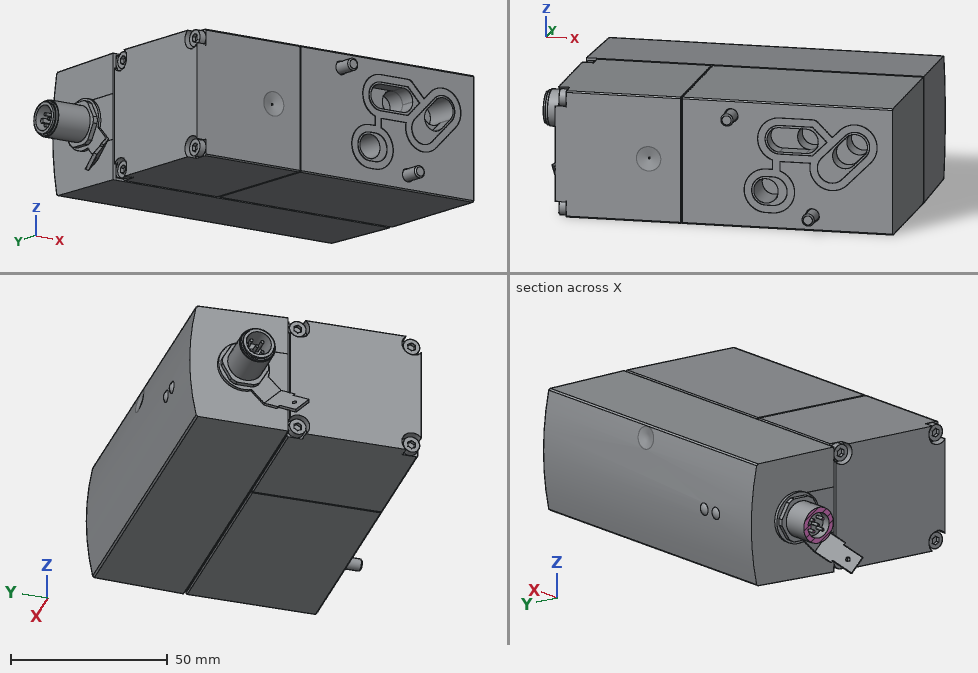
import cadquery as cq
import math


LENGTH = 110.45
HEIGHT = 41.5
HALF_HEIGHT = HEIGHT / 2
BODY_DEPTH = 43.75
BODY_CHAMFER = 0.45
BLOCK_JOINT_X = 41.3
BLOCK_JOINT_WIDTH = 0.5
BLOCK_JOINT_DEPTH = 0.4

SEAM_WIDTH = 0.8
SEAM_DEPTH = 0.8
SEAM_END_DEPTH = 1.1
COVER_START = BODY_DEPTH + SEAM_WIDTH
COVER_EDGE = 74.9
COVER_CREST = 77.25
COVER_EDGE_CHAMFER = 0.5
COVER_DRAFT = 1.0
PAD_WIDTH = 15.0
PAD_BACK = 1.5

BUTTON_X = (19.2, 25.3)
BUTTON_DIAMETER = 4.0
BUTTON_HEIGHT = 0.83
DIMPLE_DIAMETER = 8.0
DIMPLE_DEPTH = 0.9
DIMPLE_PINHOLE_DIAMETER = 0.5
DIMPLE_PINHOLE_DEPTH = 1.5
FRONT_DIMPLE_X = 30.6
COVER_DIMPLE_X = 57.8
COVER_DIMPLE_Z = 16.0

STUD_CENTRES = ((57.6, 15.7), (84.2, -15.7))
STUD_DIAMETER = 4.0
STUD_LENGTH = 6.5
STUD_CHAMFER = 0.5
STUD_HOLE_DIAMETER = 4.4
STUD_HOLE_DEPTH = 1.0

SCREW_INSET = 2.85
SCREW_HEAD_DIAMETER = 5.5
SCREW_HEAD_HEIGHT = 2.4
SCREW_POCKET_DIAMETER = 7.2
SCREW_POCKET_DEPTH = 3.6
SCREW_SOCKET_FLATS = 2.5
SCREW_SOCKET_DEPTH = 1.3

PORT_DIAMETER = 8.0
PORT_DEPTH = 12.0
SLOT_DEPTH = 5.5
LAND_RADIUS = 4.7
GASKET_WIDTH = 2.45
GASKET_RADIUS = LAND_RADIUS + GASKET_WIDTH
GASKET_DEPTH = 0.2
UPPER_SLOT_X = 73.4
UPPER_PORT_X = 82.1
UPPER_PORT_Z = 8.6
UPPER_LAND_SHOULDER_X = 84.2
UPPER_LAND_POINT_SLOPE = 45.0
LOWER_PORT_X = 69.0
LOWER_LAND_X = 71.2
LOWER_PORT_Z = -8.4
SLANT_PORT = (98.2, 7.7)
SLANT_LAND_RUN = 7.7
SLANT_SLOT_RUN = 3.4
LINK_X = 72.4

CONNECTOR_Y = 59.5
TAG_DIAMETER = 17.0
TAG_THICKNESS = 0.8
NUT_FLATS = 14.3
NUT_CORNERS = 15.4
NUT_END = 2.4
BARREL_DIAMETER = 12.0
BARREL_END = 14.9
COLLAR_DIAMETER = 11.4
COLLAR_END = 15.7
TIP_DIAMETER = 10.4
CONNECTOR_END = 16.45
SOCKET_DIAMETER = 8.3
SOCKET_DEPTH = 8.0
PIN_DIAMETER = 1.0
PIN_LENGTH = 6.0
PIN_RADIUS = 2.6
OUTER_PINS = 4
KEY_SIZE = 1.4
KEY_RADIUS = 3.6

TAG_ANGLE = 45.0
TAG_WIDTH = 8.0
TAG_TIP_WIDTH = 6.3
TAG_BEND = 13.5
TAG_SHOULDER = 18.0
TAG_REACH = 23.2
TAG_SLOPE = 45.0
TAG_HOLE_RADIUS = 20.6
TAG_HOLE_DIAMETER = 1.4

HEX_SIDES = 6
OVERLAP = 0.2


def block(x, y, z):
    """Box from three (low, high) ranges."""
    size = [high - low for low, high in (x, y, z)]
    return cq.Workplane("XY").box(*size, centered=False).translate((x[0], y[0], z[0]))


def rod_y(x, z, diameter, start, end):
    """Cylinder along Y."""
    base = cq.Workplane("XZ", origin=(x, start, z))
    return base.circle(diameter / 2).extrude(start - end)


def rod_x(y, z, diameter, start, end):
    """Cylinder along X."""
    return cq.Workplane("YZ", origin=(start, y, z)).circle(diameter / 2).extrude(end - start)


def stadium(start, end, radius, depth):
    """Round-ended slot cutter sunk into the port face between two (X, Z) centres."""
    run_x = end[0] - start[0]
    run_z = end[1] - start[1]
    middle_x = (start[0] + end[0]) / 2
    middle_z = (start[1] + end[1]) / 2
    overall = math.hypot(run_x, run_z) + 2 * radius
    angle = math.degrees(math.atan2(run_z, run_x))
    plane = cq.Workplane("XZ", origin=(middle_x, 0, middle_z))
    return plane.slot2D(overall, 2 * radius, angle).extrude(-depth)


def button(x):
    """Ball segment standing on the crest of the cover."""
    radius = ((BUTTON_DIAMETER / 2) ** 2 + BUTTON_HEIGHT**2) / (2 * BUTTON_HEIGHT)
    return cq.Workplane("XY").sphere(radius).translate((x, COVER_CREST + BUTTON_HEIGHT - radius, 0))


def conical_dimple(x, y, z, inward):
    """Shallow cone cutter along Y; inward is +1 or -1, the way the tip points."""
    base = cq.Solid.makeCone(
        DIMPLE_DIAMETER / 2,
        0,
        DIMPLE_DEPTH,
        pnt=cq.Vector(x, y, z),
        dir=cq.Vector(0, inward, 0),
    )
    return cq.Workplane(base)


def body():
    blocks = block((0, LENGTH), (0, BODY_DEPTH), (-HALF_HEIGHT, HALF_HEIGHT))
    blocks = blocks.edges("|X").chamfer(BODY_CHAMFER)
    joint_x = (BLOCK_JOINT_X - BLOCK_JOINT_WIDTH / 2, BLOCK_JOINT_X + BLOCK_JOINT_WIDTH / 2)
    joint = block(joint_x, (0, BODY_DEPTH), (-HALF_HEIGHT, HALF_HEIGHT))
    inner_half = HALF_HEIGHT - BLOCK_JOINT_DEPTH
    inner_y = (BLOCK_JOINT_DEPTH, BODY_DEPTH - BLOCK_JOINT_DEPTH)
    joint = joint.cut(block(joint_x, inner_y, (-inner_half, inner_half)))
    return blocks.cut(joint)


def seam_core():
    inner_half = HALF_HEIGHT - SEAM_DEPTH
    y = (BODY_DEPTH - OVERLAP, COVER_START + OVERLAP)
    return block((SEAM_END_DEPTH, LENGTH - SEAM_END_DEPTH), y, (-inner_half, inner_half))


def cover():
    """Drafted block with a crowned outer face."""
    base = cq.Workplane("XZ", origin=(LENGTH / 2, COVER_START, 0)).rect(LENGTH, HEIGHT)
    drafted = base.extrude(-(COVER_CREST - COVER_START), taper=COVER_DRAFT)
    crown = (
        cq.Workplane("YZ")
        .moveTo(COVER_START, -HALF_HEIGHT)
        .lineTo(COVER_EDGE, -HALF_HEIGHT)
        .threePointArc((COVER_CREST, 0), (COVER_EDGE, HALF_HEIGHT))
        .lineTo(COVER_START, HALF_HEIGHT)
        .close()
        .extrude(LENGTH)
    )
    pad = block((0, PAD_BACK), (COVER_START, CONNECTOR_Y), (-PAD_WIDTH / 2, PAD_WIDTH / 2))
    boss = rod_x(CONNECTOR_Y, 0, TAG_DIAMETER, 0, PAD_BACK)
    crowned = drafted.intersect(crown)
    for side in (-1, 1):
        edge = cq.selectors.NearestToPointSelector((LENGTH / 2, COVER_EDGE, side * HALF_HEIGHT))
        crowned = crowned.edges("|X").edges(edge).chamfer(COVER_EDGE_CHAMFER)
    return crowned.union(pad).union(boss)


def cover_dimple():
    """Conical dimple square to the crowned face."""
    sagitta = COVER_CREST - COVER_EDGE
    radius = (HALF_HEIGHT**2 + sagitta**2) / (2 * sagitta)
    tilt = math.degrees(math.asin(COVER_DIMPLE_Z / radius))
    centre_y = COVER_CREST - radius
    cutter = conical_dimple(COVER_DIMPLE_X, COVER_CREST, 0, -1)
    return cutter.rotate((0, centre_y, 0), (1, centre_y, 0), tilt)


def studs(part):
    for x, z in STUD_CENTRES:
        part = part.cut(rod_y(x, z, STUD_HOLE_DIAMETER, 0, STUD_HOLE_DEPTH))
        stud = rod_y(x, z, STUD_DIAMETER, -STUD_LENGTH, STUD_HOLE_DEPTH + OVERLAP)
        part = part.union(stud.faces("<Y").chamfer(STUD_CHAMFER))
    return part


def corner_screws(part):
    """Screw heads sunk in corner pockets that open to the sides."""
    head_start = SCREW_POCKET_DEPTH - SCREW_HEAD_HEIGHT
    for y, y_edge in ((SCREW_INSET, 0), (BODY_DEPTH - SCREW_INSET, BODY_DEPTH)):
        for side in (-1, 1):
            z = side * (HALF_HEIGHT - SCREW_INSET)
            part = part.cut(rod_x(y, z, SCREW_POCKET_DIAMETER, 0, SCREW_POCKET_DEPTH))
            corner_z = sorted((z, side * HALF_HEIGHT))
            part = part.cut(block((0, SCREW_POCKET_DEPTH), sorted((y, y_edge)), corner_z))
            head = rod_x(y, z, SCREW_HEAD_DIAMETER, head_start, SCREW_POCKET_DEPTH + OVERLAP)
            socket = (
                cq.Workplane("YZ", origin=(head_start, y, z))
                .polygon(HEX_SIDES, SCREW_SOCKET_FLATS, circumscribed=True)
                .extrude(SCREW_SOCKET_DEPTH)
            )
            part = part.union(head.cut(socket))
    return part


def upper_area(radius, corner_radius, depth):
    """Area around the upper port: round left end, sloping to a point at the right end."""
    grow = radius - LAND_RADIUS
    shoulder = UPPER_LAND_SHOULDER_X + grow * math.tan(math.radians(UPPER_LAND_POINT_SLOPE / 2))
    point = shoulder + radius / math.tan(math.radians(UPPER_LAND_POINT_SLOPE))
    area = (
        cq.Workplane("XZ")
        .moveTo(UPPER_SLOT_X, UPPER_PORT_Z + radius)
        .lineTo(shoulder, UPPER_PORT_Z + radius)
        .lineTo(point, UPPER_PORT_Z)
        .lineTo(shoulder, UPPER_PORT_Z - radius)
        .lineTo(UPPER_SLOT_X, UPPER_PORT_Z - radius)
        .threePointArc((UPPER_SLOT_X - radius, UPPER_PORT_Z), (UPPER_SLOT_X, UPPER_PORT_Z + radius))
        .close()
        .extrude(-depth)
    )
    if corner_radius > 0:
        corner = cq.selectors.NearestToPointSelector((shoulder, depth / 2, UPPER_PORT_Z + radius))
        area = area.edges("|Y").edges(corner).fillet(corner_radius)
    return area


def port_areas(radius, corner_radius):
    """The areas around the three ports, grown to the given end radius."""
    slant_end = tuple(value - SLANT_LAND_RUN for value in SLANT_PORT)
    upper = upper_area(radius, corner_radius, GASKET_DEPTH)
    slant = stadium(SLANT_PORT, slant_end, radius, GASKET_DEPTH)
    lower = stadium((LOWER_PORT_X, LOWER_PORT_Z), (LOWER_LAND_X, LOWER_PORT_Z), radius, GASKET_DEPTH)
    return upper.union(slant).union(lower)


def gasket_groove():
    link_x = (LINK_X - GASKET_WIDTH / 2, LINK_X + GASKET_WIDTH / 2)
    link = block(link_x, (0, GASKET_DEPTH), (LOWER_PORT_Z, UPPER_PORT_Z))
    outer = port_areas(GASKET_RADIUS, GASKET_WIDTH).union(link)
    return outer.cut(port_areas(LAND_RADIUS, 0))


def ports():
    radius = PORT_DIAMETER / 2
    slant_slot_end = tuple(value - SLANT_SLOT_RUN for value in SLANT_PORT)
    cutter = stadium((UPPER_SLOT_X, UPPER_PORT_Z), (UPPER_PORT_X, UPPER_PORT_Z), radius, SLOT_DEPTH)
    cutter = cutter.union(stadium(SLANT_PORT, slant_slot_end, radius, SLOT_DEPTH))
    for x, z in ((UPPER_PORT_X, UPPER_PORT_Z), (LOWER_PORT_X, LOWER_PORT_Z), SLANT_PORT):
        cutter = cutter.union(rod_y(x, z, PORT_DIAMETER, 0, PORT_DEPTH))
    return cutter


def tag_outline(reach, width):
    """Block seen along X as a strip reaching both ways from the connector axis."""
    return block((-CONNECTOR_END, 0), (-reach, reach), (-width / 2, width / 2))


def solder_tag():
    """Tag pointing to -Y about the connector axis, before it is turned to its angle."""
    rise = (TAG_REACH - TAG_BEND) * math.tan(math.radians(TAG_SLOPE))
    run = TAG_THICKNESS * math.tan(math.radians(TAG_SLOPE / 2))
    skew = TAG_THICKNESS * math.sin(math.radians(TAG_SLOPE))
    strip = (
        cq.Workplane("XY")
        .moveTo(0, 0)
        .lineTo(0, -TAG_BEND - run)
        .lineTo(-rise + TAG_THICKNESS - skew, -TAG_REACH - skew)
        .lineTo(-rise - TAG_THICKNESS, -TAG_REACH)
        .lineTo(-TAG_THICKNESS, -TAG_BEND)
        .lineTo(-TAG_THICKNESS, 0)
        .close()
        .extrude(TAG_WIDTH / 2, both=True)
    )
    wide_part = tag_outline(TAG_SHOULDER, TAG_WIDTH)
    narrow_part = tag_outline(TAG_REACH + TAG_THICKNESS, TAG_TIP_WIDTH)
    strip = strip.intersect(wide_part.union(narrow_part))
    hole_x = -TAG_THICKNESS - (TAG_HOLE_RADIUS - TAG_BEND) * math.tan(math.radians(TAG_SLOPE))
    normal = (-math.cos(math.radians(TAG_SLOPE)), math.sin(math.radians(TAG_SLOPE)), 0)
    hole = (
        cq.Workplane(cq.Plane((hole_x, -TAG_HOLE_RADIUS, 0), (0, 0, 1), normal))
        .circle(TAG_HOLE_DIAMETER / 2)
        .extrude(2 * TAG_THICKNESS, both=True)
    )
    ring = rod_x(0, 0, TAG_DIAMETER, -TAG_THICKNESS, 0)
    return strip.cut(hole).union(ring).rotate((0, 0, 0), (1, 0, 0), TAG_ANGLE)


def connector():
    """Tag, nut, stepped barrel, socket, pins and key, centred on the X axis."""
    nut = (
        cq.Workplane("YZ", origin=(-NUT_END, 0, 0))
        .polygon(HEX_SIDES, NUT_FLATS, circumscribed=True)
        .extrude(NUT_END)
        .rotate((0, 0, 0), (1, 0, 0), 90)
        .intersect(rod_x(0, 0, NUT_CORNERS, -NUT_END, 0))
    )
    plug = nut.union(rod_x(0, 0, BARREL_DIAMETER, -BARREL_END, 0))
    plug = plug.union(rod_x(0, 0, COLLAR_DIAMETER, -COLLAR_END, 0))
    plug = plug.union(rod_x(0, 0, TIP_DIAMETER, -CONNECTOR_END, 0))
    floor = -CONNECTOR_END + SOCKET_DEPTH
    plug = plug.cut(rod_x(0, 0, SOCKET_DIAMETER, -CONNECTOR_END, floor))
    plug = plug.union(rod_x(0, 0, PIN_DIAMETER, floor - PIN_LENGTH, floor + OVERLAP))
    for index in range(OUTER_PINS):
        angle = 2 * math.pi * (index + 0.5) / OUTER_PINS
        y = PIN_RADIUS * math.cos(angle)
        z = PIN_RADIUS * math.sin(angle)
        plug = plug.union(rod_x(y, z, PIN_DIAMETER, floor - PIN_LENGTH, floor + OVERLAP))
    key_y = (KEY_RADIUS - KEY_SIZE / 2, KEY_RADIUS + KEY_SIZE / 2)
    key = block((floor - PIN_LENGTH, floor + OVERLAP), key_y, (-KEY_SIZE / 2, KEY_SIZE / 2))
    return plug.union(key).union(solder_tag())


part = body().union(seam_core()).union(cover())
part = corner_screws(part)
part = part.cut(gasket_groove()).cut(ports())
part = studs(part)
part = part.cut(conical_dimple(FRONT_DIMPLE_X, 0, 0, 1))
part = part.cut(rod_y(FRONT_DIMPLE_X, 0, DIMPLE_PINHOLE_DIAMETER, 0, DIMPLE_PINHOLE_DEPTH))
part = part.cut(cover_dimple())
for button_x in BUTTON_X:
    part = part.union(button(button_x))
result = part.union(connector().translate((0, CONNECTOR_Y, 0)))